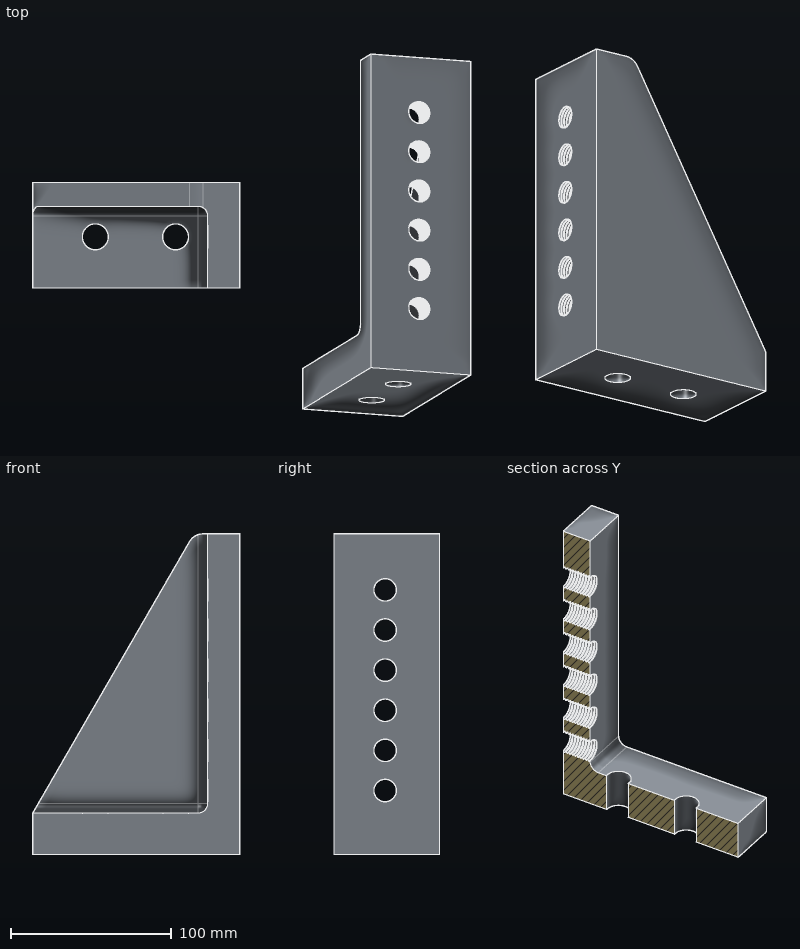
import cadquery as cq
import math

LENGTH = 129.0
DEPTH = 66.0
HEIGHT = 200.0

BASE_THICKNESS = 26.0
UPRIGHT_THICKNESS = 20.0
WEB_THICKNESS = 15.0

WEB_SLOPE = math.radians(60)
WEB_TOP_RADIUS = 10.0
INNER_FILLET = 6.0

HOLE_LINE_Y = 32.0
BASE_HOLE_DIAMETER = 16.0
BASE_HOLE_COUNT = 2
BASE_HOLE_PITCH = 50.0
LAST_BASE_HOLE_INSET = 40.0
THREAD_MINOR_DIAMETER = 13.835
THREAD_MAJOR_DIAMETER = 16.0
THREAD_PITCH = 2.0
THREAD_CREST_FLAT = 5 * THREAD_PITCH / 16
THREAD_ROOT_FLAT = THREAD_PITCH / 8
UPRIGHT_HOLE_COUNT = 6
UPRIGHT_HOLE_PITCH = 25.0
FIRST_UPRIGHT_HOLE_Z = 40.0

UPRIGHT_FACE_X = LENGTH - UPRIGHT_THICKNESS
WEB_FACE_Y = DEPTH - WEB_THICKNESS


def make_web_outline():
    """Side outline: base, back and sloping edge with a rounded top."""
    corner_x = (HEIGHT - BASE_THICKNESS) / math.tan(WEB_SLOPE)
    tangent_length = WEB_TOP_RADIUS * math.tan(WEB_SLOPE / 2)
    round_end_x = corner_x + tangent_length
    round_start = (
        corner_x - tangent_length * math.cos(WEB_SLOPE),
        HEIGHT - tangent_length * math.sin(WEB_SLOPE),
    )
    round_middle = (
        round_end_x - WEB_TOP_RADIUS * math.sin(WEB_SLOPE / 2),
        HEIGHT - WEB_TOP_RADIUS * (1 - math.cos(WEB_SLOPE / 2)),
    )
    return (
        cq.Workplane("XZ")
        .moveTo(0, 0)
        .lineTo(LENGTH, 0)
        .lineTo(LENGTH, HEIGHT)
        .lineTo(round_end_x, HEIGHT)
        .threePointArc(round_middle, round_start)
        .lineTo(0, BASE_THICKNESS)
        .close()
    )


def make_pocket():
    """Space above the base and in front of the web, with filleted inside corners."""
    margin = 2 * INNER_FILLET
    block = cq.Workplane("XY").box(
        UPRIGHT_FACE_X + margin,
        WEB_FACE_Y + margin,
        HEIGHT - BASE_THICKNESS + margin,
        centered=False,
    )
    rounded = block.edges("(>X and >Y) or (>X and <Z) or (>Y and <Z)").fillet(INNER_FILLET)
    return rounded.translate((-margin, -margin, BASE_THICKNESS))


def make_base_holes():
    """Vertical through holes in the base."""
    last_x = LENGTH - LAST_BASE_HOLE_INSET
    centers = [(last_x - i * BASE_HOLE_PITCH, HOLE_LINE_Y) for i in range(BASE_HOLE_COUNT)]
    return (
        cq.Workplane("XY")
        .pushPoints(centers)
        .circle(BASE_HOLE_DIAMETER / 2)
        .extrude(BASE_THICKNESS + INNER_FILLET)
    )


def make_threaded_hole():
    """Cutter for one threaded hole along X, the thread being a stack of ring grooves."""
    minor_radius = THREAD_MINOR_DIAMETER / 2
    major_radius = THREAD_MAJOR_DIAMETER / 2
    flank_run = (THREAD_PITCH - THREAD_CREST_FLAT - THREAD_ROOT_FLAT) / 2
    start_x = UPRIGHT_FACE_X - INNER_FILLET
    profile = cq.Workplane("XY").moveTo(start_x, 0).lineTo(start_x, minor_radius)
    for i in range(round(UPRIGHT_THICKNESS / THREAD_PITCH)):
        groove_x = UPRIGHT_FACE_X + i * THREAD_PITCH + THREAD_CREST_FLAT / 2
        root_x = groove_x + flank_run
        profile = (
            profile.lineTo(groove_x, minor_radius)
            .lineTo(root_x, major_radius)
            .lineTo(root_x + THREAD_ROOT_FLAT, major_radius)
            .lineTo(root_x + THREAD_ROOT_FLAT + flank_run, minor_radius)
        )
    profile = profile.lineTo(LENGTH, minor_radius).lineTo(LENGTH, 0).close()
    return profile.revolve(360, (0, 0, 0), (1, 0, 0))


def cut_upright_holes(body):
    """Cut the column of threaded through holes in the upright."""
    hole = make_threaded_hole()
    for i in range(UPRIGHT_HOLE_COUNT):
        hole_z = FIRST_UPRIGHT_HOLE_Z + i * UPRIGHT_HOLE_PITCH
        body = body.cut(hole.translate((0, HOLE_LINE_Y, hole_z)))
    return body


bracket = make_web_outline().extrude(-DEPTH).cut(make_pocket()).cut(make_base_holes())
result = cut_upright_holes(bracket)